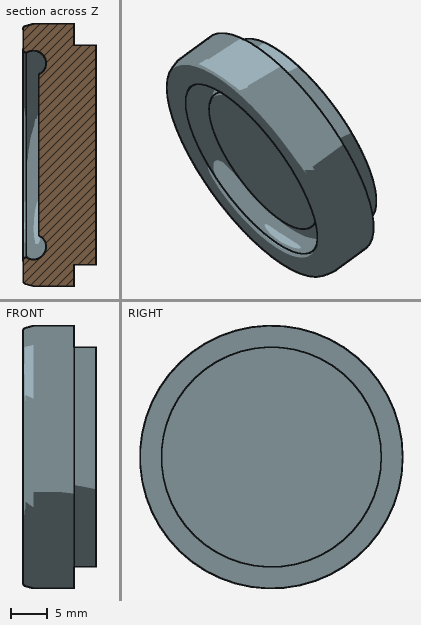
import cadquery as cq

rim_radius = 17.95
boss_radius = 15.0
rim_back = 7.0
total_depth = 10.0

taper_length = 1.47
taper_drop = 0.4
rim_rounding = 0.5

recess_radius = 13.95
lip_rounding = 0.5
disc_radius = 10.85
disc_depth = 2.15
disc_rounding = 0.35
trough_inner_radius = disc_radius + disc_rounding
trough_inner_depth = disc_depth + disc_rounding
trough_middle_radius = (recess_radius + trough_inner_radius) / 2
trough_depth = 3.15


def make_body():
    """Tapered rim with a smaller boss on its back."""
    body = (
        cq.Workplane("XY")
        .moveTo(0, 0)
        .lineTo(0, rim_radius - taper_drop)
        .lineTo(taper_length, rim_radius)
        .lineTo(rim_back, rim_radius)
        .lineTo(rim_back, boss_radius)
        .lineTo(total_depth, boss_radius)
        .lineTo(total_depth, 0)
        .close()
        .revolve(360, (0, 0, 0), (1, 0, 0))
    )
    return body.faces("<X").edges().fillet(rim_rounding)


def make_recess():
    """Material removed in front of the disc, including the trough and its rounded edges."""
    quarter = 0.5 ** 0.5
    lip_middle = (lip_rounding * (1 - quarter), recess_radius + lip_rounding * (1 - quarter))
    disc_middle = (
        trough_inner_depth - disc_rounding * quarter,
        disc_radius + disc_rounding * quarter,
    )
    return (
        cq.Workplane("XY")
        .moveTo(0, 0)
        .lineTo(0, recess_radius + lip_rounding)
        .threePointArc(lip_middle, (lip_rounding, recess_radius))
        .threePointArc(
            (trough_depth, trough_middle_radius),
            (trough_inner_depth, trough_inner_radius),
        )
        .threePointArc(disc_middle, (disc_depth, disc_radius))
        .lineTo(disc_depth, 0)
        .close()
        .revolve(360, (0, 0, 0), (1, 0, 0))
    )


result = make_body().cut(make_recess())